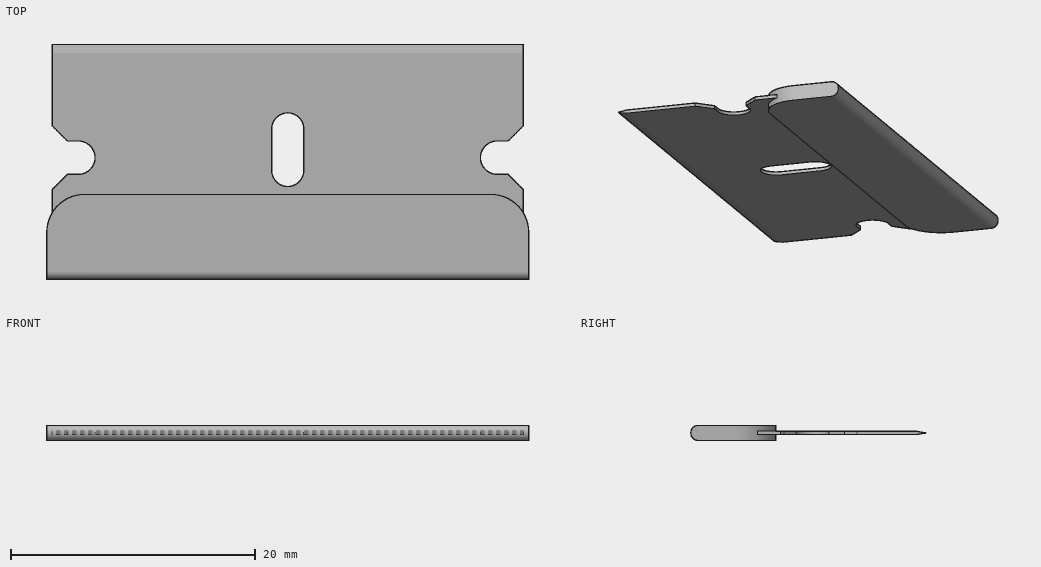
import cadquery as cq

overall_length = 39.4
overall_depth = 19.2
back_y = -overall_depth / 2
edge_y = overall_depth / 2

spine_thickness = 1.25
spine_depth = 6.95
spine_corner_radius = 3.12
back_land_height = 0.05
spine_round_radius = (spine_thickness - back_land_height) / 2

blade_length = 38.5
blade_thickness = 0.28
bevel_depth = 0.72
edge_thickness = 0.03
blade_root_y = back_y + spine_round_radius

slot_length = 6.0
slot_width = 2.6
slot_to_edge = 8.6
slot_center_y = edge_y - slot_to_edge

notch_depth = 3.5
notch_width = 2.7
notch_flare = 1.25
notch_to_edge = 9.25
notch_center_y = edge_y - notch_to_edge


def make_spine():
    """Bar with two rounded front corners and a rounded back that keeps a narrow flat land."""
    return (
        cq.Workplane("XY")
        .box(overall_length, spine_depth, spine_thickness)
        .translate((0, back_y + spine_depth / 2, 0))
        .edges("|X and <Y")
        .fillet(spine_round_radius)
        .edges("|Z and >Y")
        .fillet(spine_corner_radius)
    )


def make_blade_blank():
    """Thin plate ground from both faces to a cutting edge."""
    half_thickness = blade_thickness / 2
    half_edge = edge_thickness / 2
    bevel_start_y = edge_y - bevel_depth
    return (
        cq.Workplane("YZ")
        .moveTo(blade_root_y, -half_thickness)
        .lineTo(bevel_start_y, -half_thickness)
        .lineTo(edge_y, -half_edge)
        .lineTo(edge_y, half_edge)
        .lineTo(bevel_start_y, half_thickness)
        .lineTo(blade_root_y, half_thickness)
        .close()
        .extrude(blade_length / 2, both=True)
    )


def make_slot():
    """Cutter for the centre slot, with its long axis along Y."""
    return (
        cq.Workplane("XY")
        .center(0, slot_center_y)
        .slot2D(slot_length, slot_width, 90)
        .extrude(blade_thickness, both=True)
    )


def make_notch(side):
    """Cutter for the notch in one end of the blade; side is -1 or 1."""
    half_width = notch_width / 2
    half_mouth = half_width + notch_flare
    mouth_x = side * blade_length / 2
    throat_x = mouth_x - side * notch_flare
    bottom_x = mouth_x - side * notch_depth
    arc_start_x = bottom_x + side * half_width
    return (
        cq.Workplane("XY")
        .center(0, notch_center_y)
        .moveTo(mouth_x, half_mouth)
        .lineTo(throat_x, half_width)
        .lineTo(arc_start_x, half_width)
        .threePointArc((bottom_x, 0), (arc_start_x, -half_width))
        .lineTo(throat_x, -half_width)
        .lineTo(mouth_x, -half_mouth)
        .close()
        .extrude(blade_thickness, both=True)
    )


blade = make_blade_blank().cut(make_slot())
for side in (-1, 1):
    blade = blade.cut(make_notch(side))

result = make_spine().union(blade)